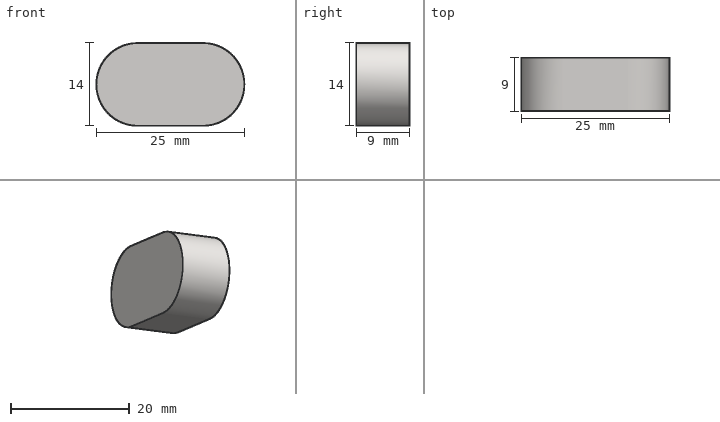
import cadquery as cq

length = 25.0
height = 14.0
thickness = 9.0


def make_obround_block():
    """Solid block with fully rounded ends, centred on the origin."""
    profile = cq.Workplane("XZ").slot2D(length, height)
    return profile.extrude(thickness / 2, both=True)


result = make_obround_block()